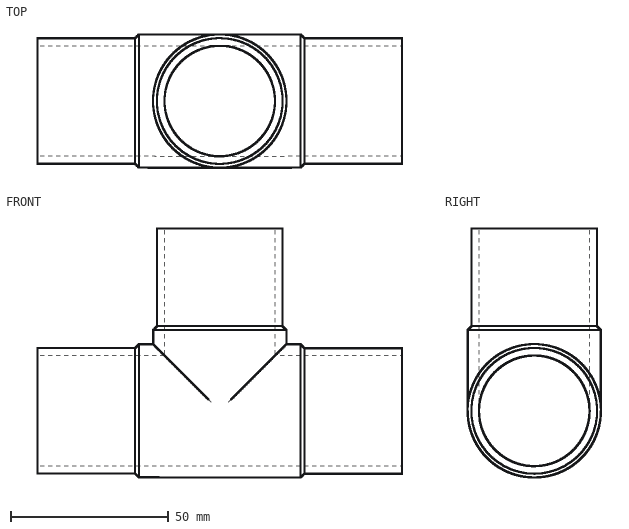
import cadquery as cq

run_length = 116.0
pipe_diameter = 40.0
collar_diameter = 42.5
bore_diameter = 35.1
collar_reach = 26.9

arm_length = run_length / 2
pipe_radius = pipe_diameter / 2
collar_radius = collar_diameter / 2
bore_radius = bore_diameter / 2
collar_chamfer = collar_radius - pipe_radius


def outer_arm():
    """Solid arm along +Z: thick collar, bevel, then the thinner pipe end."""
    profile = [
        (0, 0),
        (collar_radius, 0),
        (collar_radius, collar_reach - collar_chamfer),
        (pipe_radius, collar_reach),
        (pipe_radius, arm_length),
        (0, arm_length),
    ]
    return cq.Workplane("XZ").polyline(profile).close().revolve(360, (0, 0, 0), (0, 1, 0))


def turned(arm, angle):
    """Turn an arm about the Y axis through the tee centre."""
    return arm.rotate((0, 0, 0), (0, 1, 0), angle)


arm = outer_arm()
run = turned(arm, 90).union(turned(arm, -90))
body = run.union(arm)

run_bore = cq.Workplane("YZ").circle(bore_radius).extrude(arm_length, both=True)
branch_bore = cq.Workplane("XY").circle(bore_radius).extrude(arm_length)

result = body.cut(run_bore).cut(branch_bore)